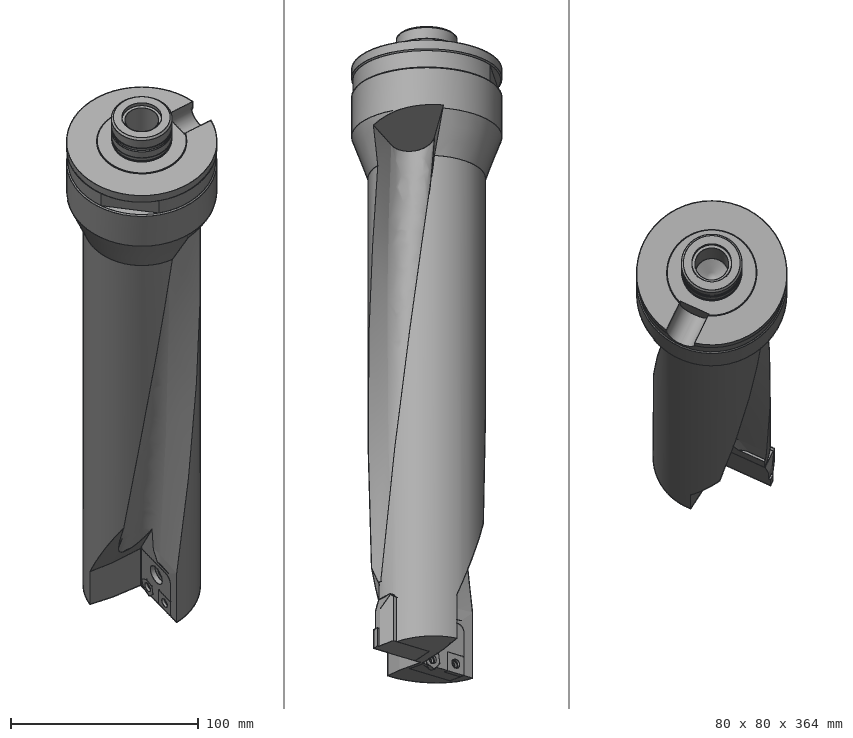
import cadquery as cq
import math

overall_height = 364.0
shoulder_z = 345.5
spigot_height = 0.5
ring_groove_top_z = 339.5
ring_groove_bottom_z = 330.0
ring_groove_chamfer = 0.7
cone_top_z = 306.5
cone_bottom_z = 282.5
roof_ridge_z = 1.5

head_radius = 40.0
ring_groove_radius = 39.3
shaft_radius = 31.3
spigot_radius = 23.5
spigot_chamfer = 0.5
stud_radius = 32.5 / 2
stud_groove_radius = 31.5 / 2
stud_neck_radius = 32.0 / 2
stud_foot_radius = 31.3 / 2

stud_chamfer = 1.0
stud_groove_top_z = 356.7
stud_groove_bottom_z = 355.0
stud_neck_z = 349.5
stud_foot_z = 347.0
stud_groove_chamfer = 0.7
stud_bore_diameter = 21.0
stud_bore_depth = 2.2
stud_hole_diameter = 18.0
stud_hole_depth = 22.0
stud_hole_cone_height = 5.0

slot_half_width = 8.5
slot_floor_half_width = 0.7
slot_depth = 12.7
slot_inner_y = 21.5
head_flat_distance = 36.0
head_flat_angle = -45.0

outer_flute_start_z = 49.5
central_flute_start_z = 39.3
flute_datum_z = 50.2
flute_top_z = 327.5
flute_twist_rate = 0.2418
flute_floor_y = -2.2
flute_corner_radius = 12.5
flute_corner_x = -14.5
flute_wall_angle = 51.0
flute_reach = 51.0
outer_flute_runout = (-7.3, 1.5, -8.7)
central_flute_runout = (-2.2, 0.5, -6.5)
flute_end_z = 296.3
flute_end_slope_x = -0.13
flute_end_slope_y = -0.27

seat_y = 0.7
pocket_wall_x = -2.2
outer_pocket_wall_x = 3.5
pocket_bend_y = 17.5
pocket_flare = 1.5
pocket_flare_y = shaft_radius
pocket_straight_z = 30.0
pocket_slant = (19.0, 0.0, 42.5)
pocket_slant_repeats = 1.9
roof_angle = 5.7

cartridge_top_z = 30.5
cartridge_depth = 12.5
central_cartridge_left_x = -1.5
central_cartridge_right_x = 25.5
central_cartridge_corner_radius = 4.5
clamp_hole_x = 12.5
clamp_hole_z = 22.0
clamp_head_diameter = 11.0
clamp_head_depth = 3.0
clamp_hole_diameter = 5.0
clamp_hole_depth = 8.7
clamp_screw_diameter = 4.0
clamp_screw_depth = 11.0
outer_cartridge_inner_x = -7.3
outer_cartridge_edge_x = -34.0
outer_cartridge_bend_y = -3.5
outer_cartridge_back_x = -31.3
outer_cartridge_bevel_width = 2.2
outer_cartridge_bevel_height = 7.3
outer_cartridge_corner_chamfer = 2.2
outer_edge_x = -35.0
outer_edge_top_z = 12.5

insert_thickness = 3.3
insert_hole_diameter = 5.0
insert_bore_diameter = 4.0
insert_screw_diameter = 3.0
insert_screw_depth = 4.5
square_insert_size = 11.0
square_insert_bottom_z = roof_ridge_z
trigon_centre_x = 4.5
trigon_tip_reach = 6.0
trigon_side_reach = 5.0
trigon_tip_angle = -75.0
trigon_centre_z = -trigon_tip_reach * math.sin(math.radians(trigon_tip_angle))
insert_clearance_angle = 7.0

clear_length = 18.2
seat_plane = cq.Plane(origin=(0, seat_y, 0), xDir=(1, 0, 0), normal=(0, -1, 0))


def turned_blank():
    profile = [
        (0, 0),
        (shaft_radius, 0),
        (shaft_radius, cone_bottom_z),
        (head_radius, cone_top_z),
        (head_radius, ring_groove_bottom_z - ring_groove_chamfer),
        (ring_groove_radius, ring_groove_bottom_z),
        (ring_groove_radius, ring_groove_top_z),
        (head_radius, ring_groove_top_z + ring_groove_chamfer),
        (head_radius, shoulder_z),
        (spigot_radius + spigot_chamfer, shoulder_z),
        (spigot_radius, shoulder_z + spigot_height),
        (stud_foot_radius, shoulder_z + spigot_height),
        (stud_foot_radius, stud_foot_z),
        (stud_neck_radius, stud_foot_z),
        (stud_neck_radius, stud_neck_z),
        (stud_radius, stud_neck_z),
        (stud_radius, stud_groove_bottom_z - stud_groove_chamfer),
        (stud_groove_radius, stud_groove_bottom_z),
        (stud_groove_radius, stud_groove_top_z),
        (stud_radius, stud_groove_top_z),
        (stud_radius, overall_height - stud_chamfer),
        (stud_radius - stud_chamfer, overall_height),
        (0, overall_height),
    ]
    return cq.Workplane("XZ").polyline(profile).close().revolve(360, (0, 0, 0), (0, 1, 0))


def stud_hole():
    bore_radius = stud_bore_diameter / 2
    hole_radius = stud_hole_diameter / 2
    bore_z = overall_height - stud_bore_depth
    floor_z = overall_height - stud_hole_depth
    profile = [
        (0, overall_height),
        (bore_radius, overall_height),
        (bore_radius, bore_z),
        (hole_radius, bore_z),
        (hole_radius, floor_z),
        (0, floor_z - stud_hole_cone_height),
    ]
    return cq.Workplane("XZ").polyline(profile).close().revolve(360, (0, 0, 0), (0, 1, 0))


def driving_slot():
    """Radial slot with upright sides, two round lower corners and a narrow flat floor."""
    corner_radius = slot_half_width - slot_floor_half_width
    floor_z = shoulder_z - slot_depth
    top_z = shoulder_z + spigot_height
    return (
        cq.Workplane(cq.Plane(origin=(0, slot_inner_y, 0), xDir=(-1, 0, 0), normal=(0, 1, 0)))
        .moveTo(-slot_half_width, top_z)
        .lineTo(-slot_half_width, floor_z + corner_radius)
        .radiusArc((-slot_floor_half_width, floor_z), -corner_radius)
        .lineTo(slot_floor_half_width, floor_z)
        .radiusArc((slot_half_width, floor_z + corner_radius), -corner_radius)
        .lineTo(slot_half_width, top_z)
        .close()
        .extrude(head_radius)
    )


def head_flat():
    groove_height = ring_groove_top_z - ring_groove_bottom_z
    return (
        cq.Workplane("XY")
        .box(clear_length, 2 * head_radius, groove_height, centered=(False, True, False))
        .translate((head_flat_distance, 0, ring_groove_bottom_z))
        .rotate((0, 0, 0), (0, 0, 1), head_flat_angle)
    )


def flute_section():
    """Cross-section of the flute at the height where its floor is parallel to X."""
    centre_y = flute_floor_y + flute_corner_radius
    lean = math.radians(flute_wall_angle)
    wall_start = (
        flute_corner_x + flute_corner_radius * math.cos(lean),
        centre_y + flute_corner_radius * math.sin(lean),
    )
    wall_end = (
        wall_start[0] - flute_reach * math.sin(lean),
        wall_start[1] + flute_reach * math.cos(lean),
    )
    return (
        cq.Workplane("XY")
        .moveTo(-flute_reach, flute_floor_y)
        .lineTo(flute_corner_x, flute_floor_y)
        .threePointArc((flute_corner_x + flute_corner_radius, centre_y), wall_start)
        .lineTo(*wall_end)
        .lineTo(-flute_reach, wall_end[1])
        .close()
    )


def flute(start_z, runout_vector):
    """Twisted channel with a slanted upper end and a run-out below its lower end."""
    height = flute_top_z - start_z
    start_angle = flute_twist_rate * (start_z - flute_datum_z)
    twisted = flute_section().twistExtrude(height, flute_twist_rate * height)
    runout = cq.Workplane(
        cq.Solid.extrudeLinear(flute_section().wire().val(), [], cq.Vector(*runout_vector))
    )
    end_plane = cq.Plane(
        origin=(0, 0, flute_end_z),
        normal=(-flute_end_slope_x, -flute_end_slope_y, 1),
    )
    cutter_size = 4 * flute_reach
    beyond_end = cq.Workplane(end_plane).rect(cutter_size, cutter_size).extrude(flute_top_z)
    pieces = []
    for piece in (twisted, runout):
        placed = piece.rotate((0, 0, 0), (0, 0, 1), start_angle).translate((0, 0, start_z))
        pieces.append(placed.cut(beyond_end))
    return pieces


def chip_pocket(wall_x):
    """Corner cut on the +X, -Y side: upright at the tip, leaning away in +X above."""
    far = 3 * head_radius
    section = [
        (wall_x, seat_y),
        (wall_x, -pocket_bend_y),
        (wall_x - pocket_flare, -pocket_flare_y),
        (wall_x - pocket_flare, -far),
        (far, -far),
        (far, seat_y),
    ]
    upright = cq.Workplane("XY").polyline(section).close().extrude(pocket_straight_z)
    bend = cq.Workplane("XY", origin=(0, 0, pocket_straight_z)).polyline(section).close().wire().val()
    leaning = cq.Solid.extrudeLinear(bend, [], cq.Vector(*pocket_slant) * pocket_slant_repeats)
    return upright.union(cq.Workplane(leaning))


def tip_roof():
    """Everything below the two planes that fall toward the ridge on the seat plane."""
    reach = 2 * head_radius
    rise = reach * math.tan(math.radians(roof_angle))
    profile = [
        (seat_y, roof_ridge_z),
        (seat_y + reach, roof_ridge_z + rise),
        (seat_y + reach, -clear_length),
        (seat_y - reach, -clear_length),
        (seat_y - reach, roof_ridge_z + rise),
    ]
    return cq.Workplane("YZ").polyline(profile).close().extrude(reach, both=True)


def seat_hole(x, z, diameter, depth):
    return cq.Workplane(seat_plane).center(x, z).circle(diameter / 2).extrude(-depth)


def central_cartridge_blank():
    width = central_cartridge_right_x - central_cartridge_left_x
    return (
        cq.Workplane("XY")
        .box(width, cartridge_depth, cartridge_top_z, centered=False)
        .translate((central_cartridge_left_x, seat_y, 0))
        .edges(">X and >Z")
        .fillet(central_cartridge_corner_radius)
        .cut(tip_roof())
    )


def outer_cartridge_shape():
    """Cartridge on the -X side whose cutting edge sets the drilled diameter."""
    back_y = seat_y - cartridge_depth
    section = [
        (outer_cartridge_inner_x, seat_y),
        (outer_cartridge_edge_x, seat_y),
        (outer_cartridge_edge_x, outer_cartridge_bend_y),
        (outer_cartridge_back_x, back_y),
        (outer_cartridge_inner_x, back_y),
    ]
    holder = cq.Workplane("XY").polyline(section).close().extrude(cartridge_top_z)
    holder = holder.edges(">Z and <Y").chamfer(outer_cartridge_corner_chamfer)
    bevel = (
        cq.Workplane("XZ", origin=(0, seat_y, 0))
        .moveTo(outer_cartridge_edge_x, cartridge_top_z)
        .lineTo(outer_cartridge_edge_x + outer_cartridge_bevel_width, cartridge_top_z)
        .lineTo(outer_cartridge_edge_x, cartridge_top_z - outer_cartridge_bevel_height)
        .close()
        .extrude(cartridge_depth)
    )
    cutting_edge = (
        cq.Workplane("XY")
        .box(clear_length, insert_thickness, outer_edge_top_z, centered=False)
        .translate((outer_edge_x, seat_y - insert_thickness, 0))
    )
    return holder.cut(bevel).union(cutting_edge).cut(tip_roof())


def square_insert_blank():
    return (
        cq.Workplane(seat_plane)
        .moveTo(central_cartridge_right_x, square_insert_bottom_z)
        .rect(-square_insert_size, square_insert_size, centered=False)
        .extrude(-insert_thickness, taper=insert_clearance_angle)
    )


def trigon_insert_blank():
    """Six-sided insert with three far corners and three nearer ones."""
    corners = []
    for index in range(6):
        reach = trigon_tip_reach if index % 2 == 0 else trigon_side_reach
        angle = math.radians(trigon_tip_angle + 60 * index)
        corners.append((reach * math.cos(angle), reach * math.sin(angle)))
    return (
        cq.Workplane(seat_plane)
        .center(trigon_centre_x, trigon_centre_z)
        .polyline(corners)
        .close()
        .extrude(-insert_thickness, taper=insert_clearance_angle)
    )


insert_hole_length = insert_thickness + insert_screw_depth
square_centre_x = central_cartridge_right_x - square_insert_size / 2
square_centre_z = square_insert_bottom_z + square_insert_size / 2
insert_centres = [(square_centre_x, square_centre_z), (trigon_centre_x, trigon_centre_z)]
insert_blanks = [square_insert_blank(), trigon_insert_blank()]
inserts = []
for blank, (x, z) in zip(insert_blanks, insert_centres):
    counterbore = seat_hole(x, z, insert_hole_diameter, insert_thickness / 2)
    bore = seat_hole(x, z, insert_bore_diameter, insert_thickness)
    inserts.append(blank.cut(counterbore).cut(bore))

central_cartridge = central_cartridge_blank()
for blank, (x, z) in zip(insert_blanks, insert_centres):
    central_cartridge = central_cartridge.cut(blank)
    central_cartridge = central_cartridge.cut(seat_hole(x, z, insert_screw_diameter, insert_hole_length))
clamp_steps = [
    (clamp_head_diameter, clamp_head_depth),
    (clamp_hole_diameter, clamp_hole_depth),
    (clamp_screw_diameter, clamp_screw_depth),
]
for diameter, depth in clamp_steps:
    central_cartridge = central_cartridge.cut(seat_hole(clamp_hole_x, clamp_hole_z, diameter, depth))

outer_cartridge = outer_cartridge_shape()

body = turned_blank().cut(stud_hole()).cut(driving_slot()).cut(head_flat())
for piece in flute(outer_flute_start_z, outer_flute_runout):
    body = body.cut(piece)
for piece in flute(central_flute_start_z, central_flute_runout):
    body = body.cut(piece.rotate((0, 0, 0), (0, 0, 1), 180))
outer_pocket = chip_pocket(outer_pocket_wall_x).rotate((0, seat_y, 0), (0, seat_y, 1), 180)
body = body.cut(chip_pocket(pocket_wall_x)).cut(outer_pocket).cut(tip_roof())
body = body.cut(central_cartridge_blank()).cut(outer_cartridge)
for blank in insert_blanks:
    body = body.cut(blank)

result = cq.Compound.makeCompound(
    [body.val(), central_cartridge.val(), outer_cartridge.val(), *[insert.val() for insert in inserts]]
)